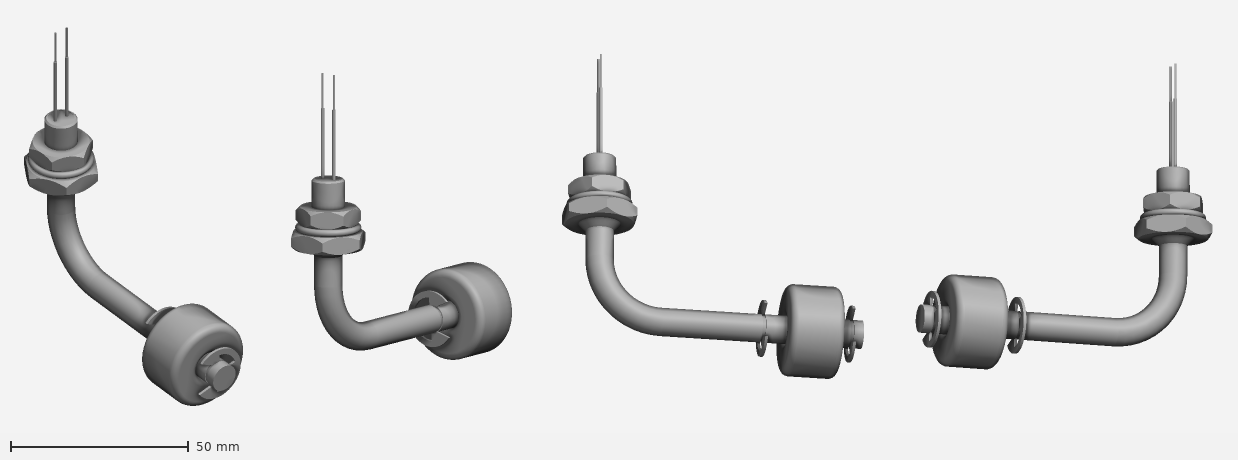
import cadquery as cq
import math


tube_diameter = 8.0
tube_radius = tube_diameter / 2
bend_radius = 17.5
arm_end_x = 75.0

flare_bottom_z = 26.0
flange_bottom_z = 28.0
flange_thickness = 5.0
flange_top_z = flange_bottom_z + flange_thickness
seal_thickness = 2.0
nut_bottom_z = flange_top_z + seal_thickness
nut_thickness = 5.0
neck_top_z = 48.0

flare_top_radius = tube_radius + (flange_bottom_z - flare_bottom_z)
neck_base_radius = 4.75
neck_tip_diameter = 8.38
neck_chamfer = 0.5
neck_top_radius = neck_tip_diameter / 2 + neck_chamfer
neck_recess_diameter = 7.5
neck_recess_depth = 0.1

flange_across_flats = 19.5
flange_chamfer_radius = flange_across_flats / 2
flange_chamfer_height = 1.3
flange_turn = 30.0
nut_across_flats = 16.0
nut_chamfer_radius = nut_across_flats / 2
nut_chamfer_height = 1.2
nut_turn = 6.0

seal_outer_radius = 9.3

wire_spacing = 4.05
insulation_diameter = 1.0
wire_root_z = neck_top_z - neck_recess_depth
insulation_top_z = 68.0
conductor_diameter = 0.6
conductor_length = 10.0

float_diameter = 26.0
float_bore_diameter = tube_diameter
float_start_x = 52.7
float_length = 15.4
float_fillet = 2.0

groove_diameter = 7.4
groove_width = 1.0
groove_starts_x = (46.0, 71.2)
clip_radius = 8.0
clip_thickness = 0.8
clip_turn = 4.7
mouth_outer_half_width = 5.08
mouth_half_flare = 20.0
window_radius = 6.2
window_start_angle = 90.0
window_end_angle = 161.0


def rod_along_x(start_x, length, diameter):
    return cq.Workplane("YZ", origin=(start_x, 0, 0)).circle(diameter / 2).extrude(length)


def chamfered_hexagon(bottom_z, thickness, across_flats, turn, chamfer_radius, chamfer_height):
    """Hexagonal prism whose corners are turned off by a cone at both ends."""
    corner_radius = across_flats / math.sqrt(3)
    prism = (
        cq.Workplane("XY")
        .polygon(6, 2 * corner_radius)
        .extrude(thickness)
        .rotate((0, 0, 0), (0, 0, 1), turn)
    )
    turned_blank = (
        cq.Workplane("XZ")
        .moveTo(0, 0)
        .lineTo(chamfer_radius, 0)
        .lineTo(corner_radius, chamfer_height)
        .lineTo(corner_radius, thickness - chamfer_height)
        .lineTo(chamfer_radius, thickness)
        .lineTo(0, thickness)
        .close()
        .revolve(360, (0, 0, 0), (0, 1, 0))
    )
    return prism.intersect(turned_blank).translate((0, 0, bottom_z))


def make_neck():
    """Slightly tapered neck above the flange, with a chamfered tip and a shallow recess in its end."""
    return (
        cq.Workplane("XZ")
        .moveTo(0, flange_top_z)
        .lineTo(neck_base_radius, flange_top_z)
        .lineTo(neck_top_radius, neck_top_z - neck_chamfer)
        .lineTo(neck_tip_diameter / 2, neck_top_z)
        .lineTo(0, neck_top_z)
        .close()
        .revolve(360, (0, 0, 0), (0, 1, 0))
        .faces(">Z")
        .workplane()
        .circle(neck_recess_diameter / 2)
        .cutBlind(-neck_recess_depth)
    )


def make_tube():
    """Round tube running down from the flange, round the bend and along the arm."""
    centreline = (
        cq.Workplane("XZ")
        .moveTo(0, flange_bottom_z)
        .lineTo(0, bend_radius)
        .radiusArc((bend_radius, 0), -bend_radius)
        .lineTo(arm_end_x, 0)
    )
    tube = cq.Workplane("XY", origin=(0, 0, flange_bottom_z)).circle(tube_radius).sweep(centreline)
    for start_x in groove_starts_x:
        outer = rod_along_x(start_x, groove_width, 2 * tube_diameter)
        groove = outer.cut(rod_along_x(start_x, groove_width, groove_diameter))
        tube = tube.cut(groove)
    return tube


def make_wire(y):
    """Insulated lead with a bare conductor at its tip."""
    return (
        cq.Workplane("XY", origin=(0, y, wire_root_z))
        .circle(insulation_diameter / 2)
        .extrude(insulation_top_z - wire_root_z)
        .faces(">Z")
        .workplane()
        .circle(conductor_diameter / 2)
        .extrude(conductor_length)
    )


def make_stem():
    """Tube, flare, flange, neck and leads as one piece."""
    flare = (
        cq.Workplane("XZ")
        .moveTo(0, flare_bottom_z)
        .lineTo(tube_radius, flare_bottom_z)
        .lineTo(flare_top_radius, flange_bottom_z)
        .lineTo(0, flange_bottom_z)
        .close()
        .revolve(360, (0, 0, 0), (0, 1, 0))
    )
    flange = chamfered_hexagon(
        flange_bottom_z,
        flange_thickness,
        flange_across_flats,
        flange_turn,
        flange_chamfer_radius,
        flange_chamfer_height,
    )
    stem = make_tube().union(flare).union(flange).union(make_neck())
    for y in (-wire_spacing / 2, wire_spacing / 2):
        stem = stem.union(make_wire(y))
    return stem


def make_seal():
    """Round-section ring held between the flange and the nut."""
    section_radius = seal_thickness / 2
    return (
        cq.Workplane("XZ")
        .moveTo(seal_outer_radius - section_radius, flange_top_z + section_radius)
        .circle(section_radius)
        .revolve(360, (0, 0, 0), (0, 1, 0))
    )


def make_nut():
    """Hexagonal nut whose bore fits the tapered neck."""
    blank = chamfered_hexagon(
        nut_bottom_z,
        nut_thickness,
        nut_across_flats,
        nut_turn,
        nut_chamfer_radius,
        nut_chamfer_height,
    )
    return blank.cut(make_neck())


def make_float():
    """Drum sliding on the arm, with its rim and bore rounded at both ends."""
    drum = rod_along_x(float_start_x, float_length, float_diameter)
    drum = drum.cut(rod_along_x(float_start_x, float_length, float_bore_diameter))
    return drum.faces("<X or >X").edges().fillet(float_fillet)


def make_window(start_angle, end_angle):
    """Sector opening from the clip's centre out to the window radius."""

    def rim_point(angle):
        return (
            window_radius * math.cos(math.radians(angle)),
            window_radius * math.sin(math.radians(angle)),
        )

    return (
        cq.Workplane("YZ")
        .moveTo(0, 0)
        .lineTo(*rim_point(start_angle))
        .threePointArc(rim_point((start_angle + end_angle) / 2), rim_point(end_angle))
        .close()
        .extrude(clip_thickness)
    )


def make_clip(start_x):
    """E-shaped clip gripping the groove floor, with a flared mouth toward -Y."""
    mouth_outer_y = math.sqrt(clip_radius**2 - mouth_outer_half_width**2)
    flare_slope = math.tan(math.radians(mouth_half_flare))
    mouth_inner_half_width = mouth_outer_half_width - mouth_outer_y * flare_slope
    mouth_reach_half_width = mouth_inner_half_width + clip_radius * flare_slope
    mouth = (
        cq.Workplane("YZ")
        .polyline(
            [
                (0, -mouth_inner_half_width),
                (clip_radius, -mouth_reach_half_width),
                (clip_radius, mouth_reach_half_width),
                (0, mouth_inner_half_width),
            ]
        )
        .close()
        .extrude(clip_thickness)
    )
    clip = rod_along_x(0, clip_thickness, 2 * clip_radius)
    clip = clip.cut(rod_along_x(0, clip_thickness, groove_diameter))
    clip = clip.cut(mouth)
    clip = clip.cut(make_window(window_start_angle, window_end_angle))
    clip = clip.cut(make_window(-window_end_angle, -window_start_angle))
    clip = clip.rotate((0, 0, 0), (1, 0, 0), 180 - clip_turn)
    return clip.translate((start_x, 0, 0))


stem = make_stem()
seal = make_seal()
nut = make_nut()
float_drum = make_float()
clips = [make_clip(start_x + groove_width - clip_thickness) for start_x in groove_starts_x]

result = cq.Compound.makeCompound(
    [
        stem.val(),
        seal.val(),
        nut.val(),
        float_drum.val(),
        *[clip.val() for clip in clips],
    ]
)